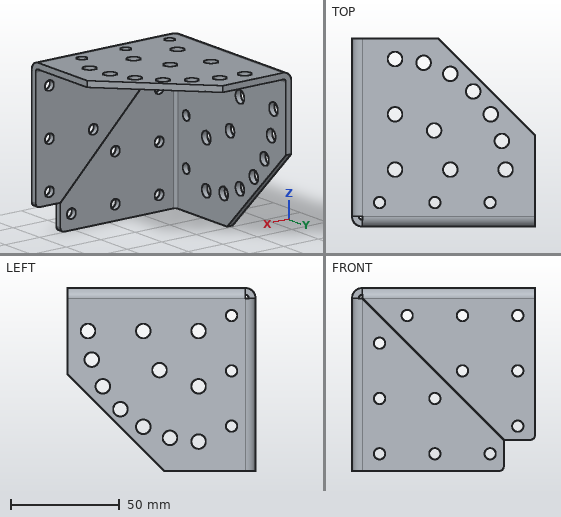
import cadquery as cq
import math


wall_length = 84.15
wall_depth = 86.5
sheet = 3.2
inner_bend_radius = 1.6
outer_bend_radius = inner_bend_radius + sheet

wall_corner_cut = 44.45
flange_height = 69.9
flange_corner_radius = 2.3
seam_width = 0.1

farthest_row = 76.2
flange_row_count = 3
hole_pitch = farthest_row / flange_row_count
small_hole = 5.1
large_hole = 6.6
wall_row_count = 3
wall_row_depth = 11.1
arc_center_x = 19.8
arc_center_y = 26.2
arc_radius = 2 * hole_pitch
arc_hole_count = 7
arc_step = 90 / (arc_hole_count - 1)
inner_hole_angles = (0, 45, 90)


def wall_holes():
    """Points of the large holes on the top wall: an arc, a shorter arc and their center."""
    polar = [(0, 0)]
    polar += [(hole_pitch, angle) for angle in inner_hole_angles]
    polar += [(arc_radius, i * arc_step) for i in range(arc_hole_count)]
    return [
        (
            arc_center_x + radius * math.cos(math.radians(angle)),
            arc_center_y + radius * math.sin(math.radians(angle)),
        )
        for radius, angle in polar
    ]


def make_top_wall():
    """Flat top wall with one corner cut at 45 degrees."""
    wall = (
        cq.Workplane("XY")
        .moveTo(outer_bend_radius, outer_bend_radius)
        .lineTo(wall_length, outer_bend_radius)
        .lineTo(wall_length, wall_depth - wall_corner_cut)
        .lineTo(wall_length - wall_corner_cut, wall_depth)
        .lineTo(outer_bend_radius, wall_depth)
        .close()
        .extrude(-sheet)
    )
    row = [((i + 0.5) * hole_pitch, wall_row_depth) for i in range(wall_row_count)]
    large = cq.Workplane("XY").pushPoints(wall_holes()).circle(large_hole / 2).extrude(-sheet)
    small = cq.Workplane("XY").pushPoints(row).circle(small_hole / 2).extrude(-sheet)
    return wall.cut(large).cut(small)


def make_bend(plane, start, end):
    """Quarter-round bend swept between two positions along the normal of the plane."""
    middle = math.sqrt(0.5)
    center = outer_bend_radius
    return (
        cq.Workplane(plane)
        .workplane(offset=start)
        .moveTo(0, -center)
        .threePointArc((center * (1 - middle), -center * (1 - middle)), (center, 0))
        .lineTo(center, -sheet)
        .threePointArc(
            (center - inner_bend_radius * middle, -center + inner_bend_radius * middle),
            (sheet, -center),
        )
        .close()
        .extrude(end - start)
    )


def make_flange():
    """Front flange hanging from the top wall, mitred along the 45 degree seam."""
    front = cq.Workplane("XZ")
    flange = (
        front
        .moveTo(outer_bend_radius, -outer_bend_radius)
        .lineTo(wall_length, -outer_bend_radius)
        .lineTo(wall_length, -flange_height)
        .lineTo(flange_height, -flange_height)
        .close()
        .extrude(-sheet)
    )
    flange = flange.edges("|Y").edges(">X and <Z").fillet(flange_corner_radius)
    points = [
        (column * hole_pitch, -(row - 0.5) * hole_pitch)
        for column in range(1, flange_row_count + 1)
        for row in range(1, column + 1)
    ]
    return flange.cut(front.pushPoints(points).circle(small_hole / 2).extrude(-sheet))


def make_seam():
    """Narrow diagonal slot that separates the two front flanges."""
    return (
        cq.Workplane("XZ")
        .transformed(rotate=(0, 0, -45))
        .rect(4 * flange_height, seam_width)
        .extrude(-sheet)
    )


front_bend_plane = cq.Plane(origin=(0, 0, 0), xDir=(0, 1, 0), normal=(1, 0, 0))
side_bend_plane = cq.Plane(origin=(0, 0, 0), xDir=(1, 0, 0), normal=(0, -1, 0))

front_bend = make_bend(front_bend_plane, outer_bend_radius, wall_length)
side_bend = make_bend(side_bend_plane, -outer_bend_radius, -wall_depth)

half = make_top_wall().union(front_bend).union(make_flange())
other_half = half.mirror(cq.Vector(1, 0, 1))

result = half.union(side_bend).union(other_half).cut(make_seam())